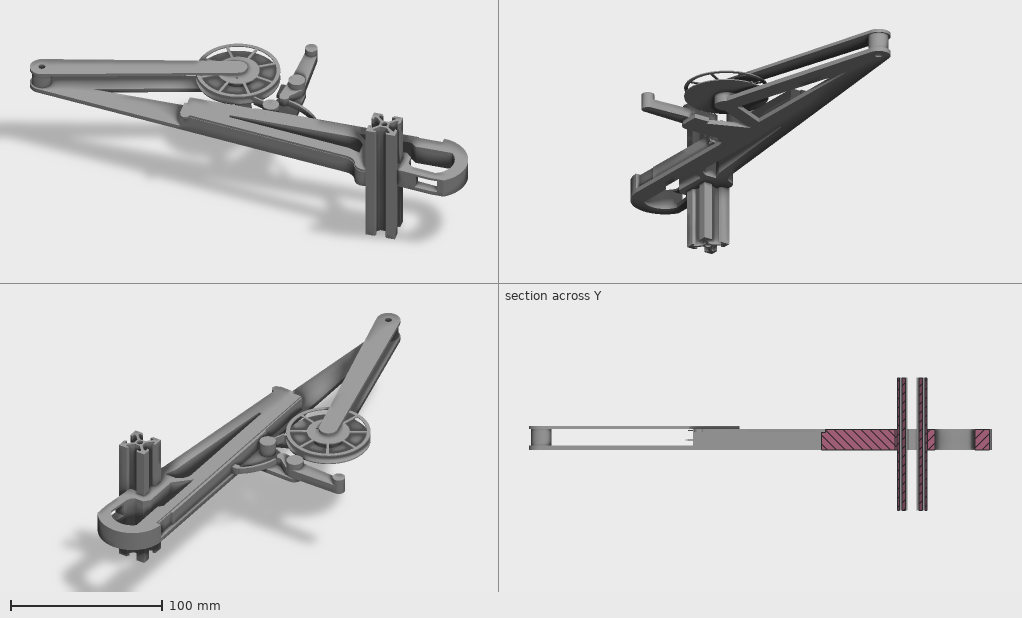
import cadquery as cq
import math

plate_top = 3.0
body_top = 13.8
lid_bottom = 12.1
arm_top = 16.0

pivot_radius = 8.0
pivot_hole_diameter = 4.6
pivot_boss_radius = 6.7
wheel_x = 125.0
wheel_y = 35.0
wheel_center = (wheel_x, wheel_y)
arm_tip_radius = 6.2
lever_x = 165.3
lever_y = wheel_y
lever_tip = (165.5, 70.02)
pawl_pin_center = (155.4, 7.0)


def prism(points, bottom, top):
    """Upright prism on a straight-sided outline."""
    return cq.Workplane("XY").workplane(offset=bottom).polyline(points).close().extrude(top - bottom)


def cylinder(center, radius, bottom, top):
    """Upright cylinder."""
    return cq.Workplane("XY").workplane(offset=bottom).center(*center).circle(radius).extrude(top - bottom)


def box(x_min, x_max, y_min, y_max, bottom, top):
    """Axis-aligned block between limits."""
    size = (x_max - x_min, y_max - y_min, top - bottom)
    return cq.Workplane("XY").box(*size, centered=False).translate((x_min, y_min, bottom))


def tapered_link(start, start_radius, end, end_radius, bottom, top):
    """Flat link with two round ends joined by their outer tangents."""
    dx = end[0] - start[0]
    dy = end[1] - start[1]
    heading = math.atan2(dy, dx)
    spread = math.acos((start_radius - end_radius) / math.hypot(dx, dy))

    def rim(center, radius, angle):
        return (center[0] + radius * math.cos(angle), center[1] + radius * math.sin(angle))

    return (
        cq.Workplane("XY").workplane(offset=bottom)
        .moveTo(*rim(start, start_radius, heading + spread))
        .threePointArc(rim(start, start_radius, heading + math.pi), rim(start, start_radius, heading - spread))
        .lineTo(*rim(end, end_radius, heading - spread))
        .threePointArc(rim(end, end_radius, heading), rim(end, end_radius, heading + spread))
        .close().extrude(top - bottom)
    )


rail_size = 20.0
rail_x = 245.3
rail_y = -35.0
rail_bottom = -40.0
rail_top = 48.0
rail_half = rail_size / 2
rail_lip = 1.8
slot_half = 3.0
slot_mouth_half = 4.0
rail_corner_inner = 5.6
rail_core_half = 3.2
rail_web = 1.8
rail_bore_diameter = 4.2


def make_extrusion():
    lip = rail_half - rail_lip
    corner_outline = [
        (rail_half, rail_half), (slot_mouth_half, rail_half), (slot_half, lip),
        (rail_corner_inner, lip), (rail_corner_inner, rail_corner_inner),
        (lip, rail_corner_inner), (lip, slot_half), (rail_half, slot_mouth_half),
    ]
    web_reach = rail_corner_inner * math.sqrt(2) + 1
    rail = box(-rail_core_half, rail_core_half, -rail_core_half, rail_core_half, rail_bottom, rail_top)
    for quarter in range(4):
        corner = prism(corner_outline, rail_bottom, rail_top)
        web = box(0, web_reach, -rail_web / 2, rail_web / 2, rail_bottom, rail_top)
        web = web.rotate((0, 0, 0), (0, 0, 1), 45)
        rail = rail.union(corner.union(web).rotate((0, 0, 0), (0, 0, 1), 90 * quarter))
    rail = rail.cut(cylinder((0, 0), rail_bore_diameter / 2, rail_bottom, rail_top))
    return rail.translate((rail_x, rail_y, 0))


edge_y = 1.9
step_x = 100.3
bar_bottom = -12.8
gap_x = 132.8
bar_foot = -8.3
hook_center = (275.05, -21.2)
hook_radius = edge_y - hook_center[1]
hook_inner_radius = 14.2
hook_end_angle = math.radians(-57)
leg_inner_angle = math.radians(-69)
lower_slope = math.radians(-6.6)


def lower_edge(x, offset=0.0):
    """Y of the sloped lower edge, tangent to the round end at the origin."""
    return -(pivot_radius - offset) / math.cos(lower_slope) + math.tan(lower_slope) * x


def on_hook(radius, angle):
    """Point on a circle about the hook center."""
    return (hook_center[0] + radius * math.cos(angle), hook_center[1] + radius * math.sin(angle))


clamp_width = 8.6
clamp_wall_end = 149.7
block_left = 225.9
block_top = -19.2
block_right = 260.2
rail_left = rail_x - rail_half
rail_right = rail_x + rail_half
rail_upper = rail_y + rail_half
plug_depth = 2.8
plug_nose_half = 2.0


def jaw_plug(direction):
    """Tongue that fills a slot mouth of the rail, on the side at this angle."""
    outline = [
        (rail_half, slot_mouth_half), (rail_half - rail_lip, slot_half),
        (rail_half - plug_depth, plug_nose_half), (rail_half - plug_depth, -plug_nose_half),
        (rail_half - rail_lip, -slot_half), (rail_half, -slot_mouth_half),
    ]
    plug = prism(outline, 0, body_top).rotate((0, 0, 0), (0, 0, 1), direction)
    return plug.translate((rail_x, rail_y, 0))


def make_bar_and_hook():
    return (
        cq.Workplane("XY").moveTo(step_x, edge_y).lineTo(hook_center[0], edge_y)
        .threePointArc(on_hook(hook_radius, 0.2), on_hook(hook_radius, hook_end_angle))
        .lineTo(278.0, -40.6).lineTo(rail_right, -38.2)
        .lineTo(rail_right, rail_upper).lineTo(rail_left, rail_upper)
        .lineTo(rail_left, -29.9).lineTo(block_left, -27.5)
        .lineTo(block_left, -19.5).threePointArc((223.0, -15.2), (216.5, bar_bottom))
        .lineTo(gap_x, bar_bottom).lineTo(gap_x, lower_edge(gap_x, clamp_width))
        .lineTo(step_x, lower_edge(step_x, clamp_width)).close().extrude(body_top)
    )


def make_hook_window():
    inner_top = -11.3
    start = math.asin((inner_top - hook_center[1]) / hook_inner_radius)
    return (
        cq.Workplane("XY").moveTo(220.5, bar_foot).lineTo(256.5, bar_foot).lineTo(260.0, inner_top)
        .lineTo(*on_hook(hook_inner_radius, start))
        .threePointArc(on_hook(hook_inner_radius, 0), on_hook(hook_inner_radius, leg_inner_angle))
        .lineTo(266.5, -32.6)
        .threePointArc((262.6, -31.5), (block_right, -28.8)).lineTo(block_right, -22.8)
        .lineTo(256.3, block_top).lineTo(231.9, block_top).close().extrude(body_top)
    )


leg_slot_left = 267.6
leg_slot_right = 283.0
leg_slot_bottom = 2.8


def make_leg_slot():
    return box(leg_slot_left, leg_slot_right, rail_y - rail_half, -30, leg_slot_bottom, lid_bottom)


strip_left = 102.2
strip_right = 275.9
strip_upper = -1.0
strip_inner = -4.6
strip_lower = -8.3
strip_bulge_left = 146.7
strip_bulge_right = 259.1
strip_bulge = 0.1
strip_ledge_y = -1.8
strip_ledge_drop = 1.0
dovetail_left = 113.0
dovetail_right = 265.8
dovetail_run = 2.6


def strip_blank(bottom, top):
    """Strip outline with dovetailed feet at both ends."""
    return prism([
        (strip_left, strip_lower), (dovetail_left + dovetail_run, strip_lower), (dovetail_left, strip_inner),
        (dovetail_right, strip_inner), (dovetail_right - dovetail_run, strip_lower),
        (strip_right, strip_lower), (strip_right, strip_upper), (strip_bulge_right, strip_upper),
        (strip_bulge_right, strip_bulge), (strip_bulge_left, strip_bulge),
        (strip_bulge_left, strip_upper), (strip_left, strip_upper),
    ], bottom, top)


def make_strip():
    ledge = box(strip_left, strip_right, strip_ledge_y, edge_y, body_top - strip_ledge_drop, body_top)
    return strip_blank(plate_top, body_top).cut(ledge)


post_right = 171.6
post_fillet = 8.5
post_foot_left = 145.8
post_pad_left = 153.1
post_pad_bottom = 29.4
post_pad_top = 40.7
foot_overlap = 1.0
wheel_strut_half = 5.0
strut_boss_radius = 8.0
wheel_bottom = 6.4
pawl_pin_diameter = 7.0
pawl_ring_radius = 5.4
pawl_top = 12.5


def make_post():
    return (
        cq.Workplane("XY").moveTo(post_foot_left, edge_y - foot_overlap).lineTo(post_foot_left, edge_y)
        .lineTo(156.6, post_pad_bottom).lineTo(post_pad_left, post_pad_bottom)
        .lineTo(post_pad_left, post_pad_top).lineTo(lever_x, post_pad_top)
        .threePointArc((lever_x + 4.5, lever_y + 4.2), (post_right, lever_y))
        .lineTo(post_right, edge_y + post_fillet)
        .radiusArc((post_right + post_fillet, edge_y), -post_fillet)
        .lineTo(post_right + post_fillet, edge_y - foot_overlap).close().extrude(plate_top)
    )


def make_wheel_strut():
    foot_x = 140.6
    foot_y = edge_y - foot_overlap
    heading = math.atan2(foot_y - wheel_y, foot_x - wheel_x)
    length = math.hypot(foot_x - wheel_x, foot_y - wheel_y)
    strut = box(0, length, -wheel_strut_half, wheel_strut_half, 0, plate_top)
    return strut.rotate((0, 0, 0), (0, 0, 1), math.degrees(heading)).translate((wheel_x, wheel_y, 0))


def make_frame():
    tangent_x = pivot_radius * math.sin(lower_slope)
    plate = prism([(0, edge_y), (step_x, edge_y), (step_x, lower_edge(step_x)),
                   (tangent_x, lower_edge(tangent_x))], 0, plate_top)
    lower_arm = tapered_link((0, 0), pivot_radius, wheel_center, arm_tip_radius, 0, plate_top)
    wall = prism([(step_x, bar_bottom), (step_x, lower_edge(step_x)),
                  (clamp_wall_end, lower_edge(clamp_wall_end)),
                  (clamp_wall_end, lower_edge(clamp_wall_end, clamp_width)),
                  (step_x, lower_edge(step_x, clamp_width))], 0, lid_bottom)
    frame = make_bar_and_hook().cut(make_hook_window())
    frame = frame.union(plate).union(lower_arm).union(wall)
    frame = frame.union(jaw_plug(90)).union(jaw_plug(0))
    frame = frame.union(make_post()).union(make_wheel_strut())
    frame = frame.union(cylinder((0, 0), pivot_boss_radius, 0, body_top))
    frame = frame.union(cylinder(wheel_center, strut_boss_radius, 0, wheel_bottom))
    frame = frame.cut(strip_blank(plate_top, body_top))
    left_relief = box(step_x, strip_left, strip_lower, edge_y, plate_top, body_top)
    front_relief = box(step_x, strip_right, strip_upper, edge_y, plate_top, body_top)
    frame = frame.cut(left_relief).cut(front_relief)
    frame = frame.union(cylinder(pawl_pin_center, pawl_pin_diameter / 2, 0, pawl_top))
    frame = frame.cut(make_leg_slot())
    return frame.cut(cylinder((0, 0), pivot_hole_diameter / 2, 0, body_top))


lid_inset = 0.3
neck_start = 219.0
lid_tab_x = 104.0
lid_tab_radius = 3.0


def make_clamp_arm():
    def outline(left, inset):
        return (
            cq.Workplane("XY").moveTo(left, lower_edge(left, inset))
            .lineTo(neck_start, lower_edge(neck_start, inset))
            .threePointArc((224.2 + inset, -36.3 + inset), (226.3 + inset, -40.2))
            .threePointArc((227.4 + inset, -42.0), (229.2 + inset, -43.5 + inset))
            .threePointArc((232.0, -44.2 + inset), (rail_left, -43.6 + inset))
            .lineTo(rail_left, rail_y - slot_mouth_half).lineTo(rail_left + rail_lip, rail_y - slot_half)
            .lineTo(rail_left + 4, rail_y - slot_half).lineTo(rail_left + 3.6, rail_y)
            .lineTo(rail_left + rail_lip, rail_y + slot_half).lineTo(rail_left, rail_y + slot_mouth_half)
            .lineTo(rail_left, -29.9).lineTo(block_left, -27.5).lineTo(218, lower_edge(218, clamp_width))
            .lineTo(left, lower_edge(left, clamp_width)).close()
        )

    beam = outline(clamp_wall_end, 0).extrude(lid_bottom)
    lid = outline(step_x, lid_inset).extrude(body_top - lid_bottom).translate((0, 0, lid_bottom))
    tab = cylinder((lid_tab_x, lower_edge(lid_tab_x)), lid_tab_radius, lid_bottom, body_top)
    return beam.union(lid).union(tab)


def make_upper_arm():
    arm = tapered_link((0, 0), pivot_radius, wheel_center, arm_tip_radius, body_top, arm_top)
    return arm.cut(cylinder((0, 0), pivot_hole_diameter / 2, body_top, arm_top))


wheel_radius = 28.0
wheel_rim_inner = 25.5
wheel_disc_radius = 14.2
wheel_hub_radius = 10.4
wheel_top = 13.2
flange = 0.7
spoke_count = 8
spoke_width = 1.8
spoke_phase = 32.0
drill_diameter = 1.5
drill_offset = (1.4, -8.1)
stop_length = 1.5
stop_half_width = 0.6


def make_wheel():
    wheel = cylinder(wheel_center, wheel_radius, wheel_bottom, wheel_bottom + flange)
    wheel = wheel.union(cylinder(wheel_center, wheel_hub_radius, wheel_bottom, wheel_top))
    upper = wheel_top - flange
    rim = cylinder(wheel_center, wheel_radius, upper, wheel_top)
    rim = rim.cut(cylinder(wheel_center, wheel_rim_inner, upper, wheel_top))
    wheel = wheel.union(rim).union(cylinder(wheel_center, wheel_disc_radius, upper, wheel_top))
    for index in range(spoke_count):
        spoke = box(wheel_hub_radius, wheel_rim_inner + 1, -spoke_width / 2, spoke_width / 2, upper, wheel_top)
        spoke = spoke.rotate((0, 0, 0), (0, 0, 1), spoke_phase + index * 360 / spoke_count)
        wheel = wheel.union(spoke.translate((wheel_x, wheel_y, 0)))
    drill_center = (wheel_x + drill_offset[0], wheel_y + drill_offset[1])
    drill = cylinder(drill_center, drill_diameter / 2, wheel_bottom, wheel_top)
    wheel_left = wheel_x - wheel_radius
    stop = box(wheel_left - stop_length, wheel_left + 1, wheel_y - stop_half_width, wheel_y + stop_half_width,
               wheel_bottom, wheel_bottom + flange)
    return wheel.union(stop).cut(drill)


lever_top = 9.2
lever_tip_radius = 4.18
lever_boss_radius = 5.6
lever_pin_diameter = 8.0


def make_lever():
    lever = tapered_link((lever_x, lever_y), lever_boss_radius, lever_tip, lever_tip_radius, plate_top, lever_top)
    tail = prism([(lever_x - 6.2, lever_y + 3), (lever_x - 8.2, lever_y - 13.5), (lever_x - 7.0, lever_y - 16.3),
                  (lever_x - 4.0, lever_y - 16.6), (lever_x - 1.5, lever_y - 15.0),
                  (lever_x - 1.5, lever_y - 12.2), (lever_x + 4.8, lever_y - 4)], plate_top, lever_top)
    lever = lever.union(tail)
    lever = lever.union(cylinder(lever_tip, lever_tip_radius, plate_top, body_top))
    lever = lever.union(cylinder((lever_x, lever_y), lever_boss_radius, plate_top, body_top))
    return lever.cut(cylinder((lever_x, lever_y), lever_pin_diameter / 2, plate_top, body_top))


def make_lever_pin():
    return cylinder((lever_x, lever_y), lever_pin_diameter / 2, plate_top, body_top)


pawl_finger_end = (142.6, 11.6)
pawl_finger_width = 1.2


def make_pawl():
    dx = pawl_finger_end[0] - pawl_pin_center[0]
    dy = pawl_finger_end[1] - pawl_pin_center[1]
    half = pawl_finger_width / 2
    finger = box(0, math.hypot(dx, dy), -half, half, wheel_bottom, pawl_top)
    finger = finger.rotate((0, 0, 0), (0, 0, 1), math.degrees(math.atan2(dy, dx)))
    finger = finger.translate((*pawl_pin_center, 0))
    pawl = cylinder(pawl_pin_center, pawl_ring_radius, plate_top, pawl_top).union(finger)
    return pawl.cut(cylinder(pawl_pin_center, pawl_pin_diameter / 2, plate_top, pawl_top))


spring_thickness = 1.3
spring_bottom = 4.0
spring_top = 8.25
spring_foot_left = 184.2
spring_foot_right = 188.2
spring_foot_height = 4.4
spring_bend_y = 5.6


def make_spring():
    half = spring_thickness / 2
    blade = (
        cq.Workplane("XY").workplane(offset=spring_bottom)
        .moveTo(164.4, 19.2 + half).threePointArc((176.0 + half, 14.5 + half), (186.7 + half, spring_bend_y))
        .lineTo(186.7 + half, spring_foot_height - 1).lineTo(186.0 - half, spring_foot_height - 1)
        .lineTo(186.0 - half, spring_bend_y)
        .threePointArc((176.0 - half, 14.5 - half), (164.4, 19.2 - half)).close()
        .extrude(spring_top - spring_bottom)
    )
    foot = box(spring_foot_left, spring_foot_right, strip_bulge, spring_foot_height, plate_top, spring_top)
    return blade.union(foot)


bodies = [
    make_frame(), make_strip(), make_extrusion(), make_clamp_arm(), make_upper_arm(),
    make_wheel(), make_lever(), make_lever_pin(), make_pawl(), make_spring(),
]
result = cq.Compound.makeCompound([body.val() for body in bodies])